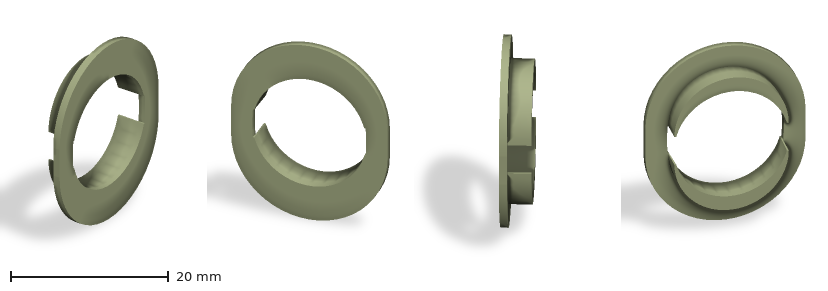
import cadquery as cq

flange_width = 21.0
flange_height = 25.0
flange_thickness = 1.0
collar_length = 3.0
collar_width = 15.0
gap_height = 4.0

bore_start_diameter = 15.05
bore_end_diameter = 15.3

gap_edge_width = 15.15
gap_middle_width = 15.35

rim_width = (flange_width - collar_width) / 2
collar_height = flange_height - 2 * rim_width
total_length = collar_length + flange_thickness
start_x = -total_length / 2
flange_x = start_x + collar_length


def yz_plane(x):
    """Workplane normal to +X at the given X position."""
    return cq.Workplane("YZ", origin=(x, 0, 0))


def upright_slot(x, length, width, height):
    """Solid with a vertical round-ended outline, extruded along +X."""
    return yz_plane(x).slot2D(height, width, 90).extrude(length)


def tapered_bore():
    """Round conical bore through the whole part."""
    return (
        yz_plane(start_x)
        .circle(bore_start_diameter / 2)
        .workplane(offset=total_length)
        .circle(bore_end_diameter / 2)
        .loft(ruled=True)
    )


def gap_opening():
    """Bow-sided opening that splits the collar and continues through the flange."""
    edge_y = gap_edge_width / 2
    middle_y = gap_middle_width / 2
    edge_z = gap_height / 2
    return (
        yz_plane(start_x)
        .moveTo(-edge_y, -edge_z)
        .lineTo(edge_y, -edge_z)
        .threePointArc((middle_y, 0), (edge_y, edge_z))
        .lineTo(-edge_y, edge_z)
        .threePointArc((-middle_y, 0), (-edge_y, -edge_z))
        .close()
        .extrude(total_length)
    )


flange = upright_slot(flange_x, flange_thickness, flange_width, flange_height)
collar = upright_slot(start_x, collar_length, collar_width, collar_height)
result = flange.union(collar).cut(tapered_bore()).cut(gap_opening())